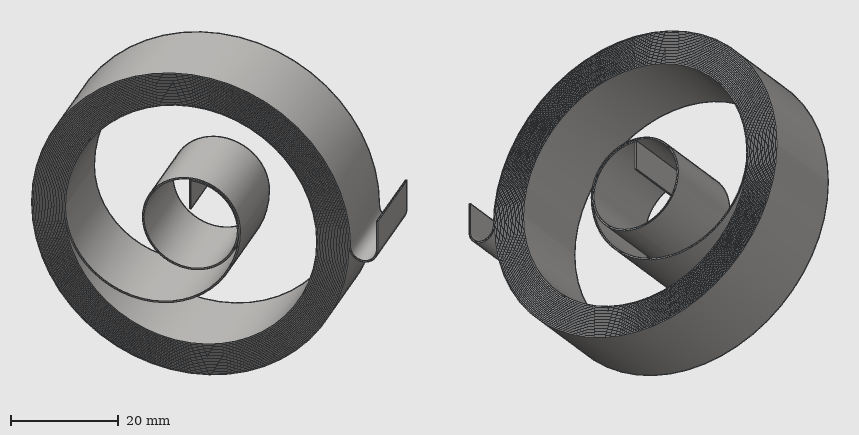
import cadquery as cq
import math

strip_width = 18.0
pitch = 0.3
turn_gap = 0.001
strip_thickness = pitch - turn_gap
half_thickness = strip_thickness / 2

coil_outer_radius = 31.0
full_turns = 21

sleeve_inner_radius = 9.0

hook_inner_radius = 2.5
hook_leg_length = 6.0
tang_tip_height = 3.2

coil_start = coil_outer_radius - half_thickness
sleeve_start = sleeve_inner_radius + half_thickness
sleeve_end = sleeve_start + pitch
hook_leg_x = coil_start + 2 * (hook_inner_radius + half_thickness)


def winding_arcs():
    """Arcs of the strip centreline from the hook inward to the tang.

    Each one is (centre x, centre z, radius, start angle, sweep), with angles in degrees,
    measured counter-clockwise from +X towards +Z.
    """

    def lower_half(left_x, right_x, start_angle, sweep):
        return ((left_x + right_x) / 2, 0, (right_x - left_x) / 2, start_angle, sweep)

    arcs = [lower_half(coil_start, hook_leg_x, 0, -180)]

    radius = coil_start
    for _ in range(full_turns):
        arcs.append((0, 0, radius, 0, 180))
        arcs.append(lower_half(-radius, radius - pitch, 180, 180))
        radius -= pitch
    arcs.append((0, 0, radius, 0, 180))

    arcs.append(lower_half(-radius, sleeve_end, 180, 180))

    arcs.append((0, 0, sleeve_end, 0, 90))
    arcs.append((0, pitch / 2, sleeve_start + pitch / 2, 90, 180))
    arcs.append((0, 0, sleeve_start, 270, 180))
    return arcs


def add_offset_arc(path, arc, offset, is_reversed=False):
    """Continue the path along an arc moved sideways by offset, positive to the right of travel."""
    centre_x, centre_z, radius, start_angle, sweep = arc
    face_radius = radius + offset * math.copysign(1, sweep)

    def point(angle):
        angle = math.radians(angle)
        return (centre_x + face_radius * math.cos(angle), centre_z + face_radius * math.sin(angle))

    end_angle = start_angle if is_reversed else start_angle + sweep
    return path.threePointArc(point(start_angle + sweep / 2), point(end_angle))


def strip_outline():
    """Closed outline of the strip edge: inward along its right face, back along its left face."""
    arcs = winding_arcs()
    tang_left = -strip_thickness

    path = cq.Workplane("XZ").moveTo(hook_leg_x - half_thickness, hook_leg_length)
    path = path.lineTo(hook_leg_x - half_thickness, 0)
    for arc in arcs:
        path = add_offset_arc(path, arc, half_thickness)

    bend = (0, sleeve_inner_radius, strip_thickness, 90, 90)
    path = add_offset_arc(path, bend, 0)
    path = path.lineTo(tang_left, tang_tip_height)
    path = path.lineTo(0, tang_tip_height)
    path = path.lineTo(0, sleeve_inner_radius)

    for arc in reversed(arcs):
        path = add_offset_arc(path, arc, -half_thickness, is_reversed=True)
    return path.lineTo(hook_leg_x + half_thickness, hook_leg_length).close()


result = strip_outline().extrude(strip_width / 2, both=True)